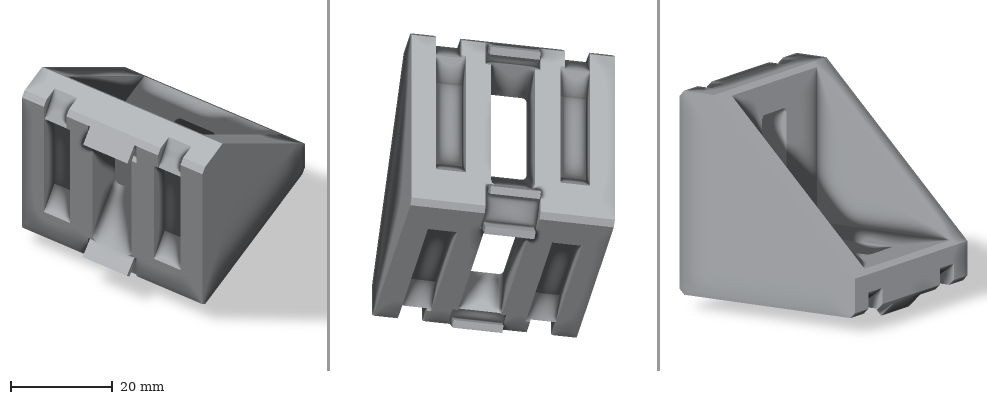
import cadquery as cq
import math


width = 40.65
leg_length = 41.0
edge_chamfer = 1.1
tip_thickness = 8.05
leg_thickness = 9.0
pocket_width = 30.75

slot_width = 8.8
slot_fillet = 0.95
slot_outer_bottom = 6.35
slot_inner_bottom = 14.55
slot_inner_top = 33.97
slot_outer_top = 36.35

groove_width = 5.95
groove_bottom = 8.53
groove_top = 36.25
groove_depth = 4.2

notch_width = 5.05
notch_depth = 4.4
notch_bottom = 35.9
notch_bottom_depth = groove_top - notch_bottom

clip_width = 9.98
clip_thickness = 1.55
clip_recess_width = 11.0
tip_recess_height = 5.05
tip_clip_reach = 2.72
corner_clip_reach = 2.95
corner_clip_angle = math.radians(40)
corner_cut = slot_outer_bottom

tip_recess_top = leg_length - edge_chamfer


def exchanged(points):
    """Carry a front-leg profile over to the bottom leg."""
    return [(height, depth) for depth, height in points]


def bar(points, bar_width, center_x=0):
    """Prism along X with the given (Y, Z) profile."""
    profile = cq.Workplane("YZ", origin=(center_x, 0, 0)).polyline(points).close()
    return profile.extrude(bar_width / 2, both=True)


def housing_block():
    outline = [
        (edge_chamfer, 0),
        (leg_length - edge_chamfer, 0),
        (leg_length, edge_chamfer),
        (leg_length, tip_thickness),
        (tip_thickness, leg_length),
        (edge_chamfer, leg_length),
        (0, leg_length - edge_chamfer),
        (0, edge_chamfer),
    ]
    return bar(outline, width)


def inner_pocket():
    triangle = [
        (leg_thickness, leg_thickness),
        (leg_length, leg_thickness),
        (leg_thickness, leg_length),
    ]
    return bar(triangle, pocket_width)


def bolt_slot(place):
    profile = [
        (0, slot_outer_bottom),
        (leg_thickness, slot_inner_bottom),
        (leg_thickness, slot_inner_top),
        (0, slot_outer_top),
    ]
    slot = bar(place(profile), slot_width)
    sloped_faces = slot.faces("not (|X or |Y or |Z)")
    return sloped_faces.edges("not |X").fillet(slot_fillet)


def groove(place, side):
    profile = [
        (0, groove_bottom),
        (groove_depth, groove_bottom + groove_depth),
        (groove_depth, groove_top - groove_depth),
        (0, groove_top),
    ]
    return bar(place(profile), groove_width, side * (pocket_width - groove_width) / 2)


def tip_notch(place, side):
    profile = [
        (0, notch_bottom),
        (notch_bottom_depth, notch_bottom),
        (notch_depth, leg_length),
        (0, leg_length),
    ]
    return bar(place(profile), notch_width, side * (pocket_width - notch_width) / 2)


def tip_recess(place):
    vee = [
        (0, tip_recess_top),
        (tip_recess_height / 2, tip_recess_top - tip_recess_height / 2),
        (0, tip_recess_top - tip_recess_height),
    ]
    return bar(place(vee), clip_recess_width)


def corner_recess():
    return bar([(0, 0), (corner_cut, 0), (0, corner_cut)], clip_recess_width)


def tip_clip(place):
    """Clip standing square on the upper flank of the tip recess."""
    step = clip_thickness / math.sqrt(2)
    profile = [
        (0, tip_recess_top),
        (-tip_clip_reach, tip_recess_top - tip_clip_reach),
        (step - tip_clip_reach, tip_recess_top - tip_clip_reach - step),
        (step, tip_recess_top - step),
    ]
    return bar(place(profile), clip_width)


def corner_clip(place):
    """Clip rooted on the flat of the corner recess."""
    sine = math.sin(corner_clip_angle)
    cosine = math.cos(corner_clip_angle)
    root = clip_thickness / (sine + cosine)
    end_height = corner_cut - corner_clip_reach * sine / cosine
    profile = [
        (0, corner_cut),
        (-corner_clip_reach, end_height),
        (clip_thickness * sine - corner_clip_reach, end_height - clip_thickness * cosine),
        (root, corner_cut - root),
    ]
    return bar(place(profile), clip_width)


legs = (list, exchanged)

housing = housing_block().cut(inner_pocket()).cut(corner_recess())
clips = []
for leg in legs:
    housing = housing.cut(bolt_slot(leg)).cut(tip_recess(leg))
    for side in (-1, 1):
        housing = housing.cut(groove(leg, side)).cut(tip_notch(leg, side))
    clips.append(tip_clip(leg))
    clips.append(corner_clip(leg))

result = cq.Compound.makeCompound([housing.val(), *[clip.val() for clip in clips]])